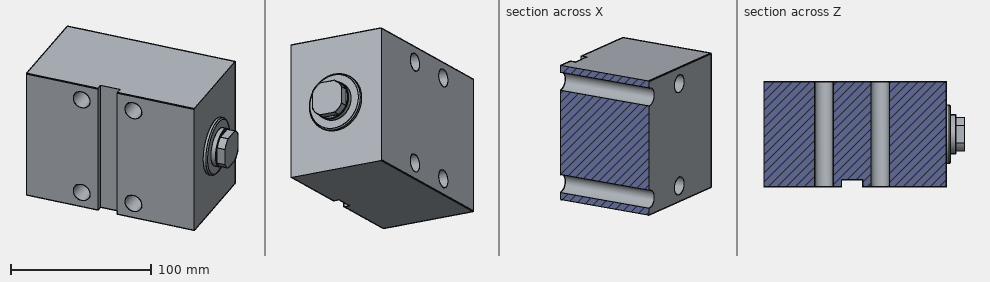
import cadquery as cq

overall_length = 143.0
block_width = 75.0
block_height = 100.0
block_edge_chamfer = 0.5

gland_diameter = 42.0
gland_thickness = 3.0
gland_chamfer = 1.0

rod_diameter = 28.0
rod_chamfer = 0.5
collar_projection = 4.0
nose_length = 6.0
nose_across_flats = 24.0
nose_diameter = rod_diameter - 2 * rod_chamfer

collar_length = gland_thickness + collar_projection
block_length = overall_length - collar_length - nose_length

slot_center_x = 62.9
slot_width = 15.0
slot_depth = 5.0
hole_diameter = 13.0
hole_pitch_x = 40.0
hole_pitch_z = 76.0


def cylinder_along_x(diameter, length, start_x):
    return cq.Workplane("YZ", origin=(start_x, 0, 0)).circle(diameter / 2).extrude(length)


def make_block():
    """Block with bevelled long edges, a key slot and four through holes."""
    block = cq.Workplane("XY").box(
        block_length, block_width, block_height, centered=(False, True, True)
    )
    block = block.edges("|X").chamfer(block_edge_chamfer)

    front_y = -block_width / 2
    slot = cq.Workplane("XY").box(slot_width, 2 * slot_depth, block_height)
    slot = slot.translate((slot_center_x, front_y, 0))

    holes = (
        cq.Workplane("XZ", origin=(slot_center_x, -front_y, 0))
        .rarray(hole_pitch_x, hole_pitch_z, 2, 2)
        .circle(hole_diameter / 2)
        .extrude(block_width)
    )
    return block.cut(slot).cut(holes)


def make_gland():
    """Ring around the rod with a chamfered outer rim."""
    gland = cylinder_along_x(gland_diameter, gland_thickness, block_length)
    gland = gland.faces(">X").edges().chamfer(gland_chamfer)
    bore = cylinder_along_x(rod_diameter, gland_thickness, block_length)
    return gland.cut(bore)


def make_rod():
    """Rod end resting on the block face, with a square-flatted nose."""
    collar = cylinder_along_x(rod_diameter, collar_length, block_length)
    collar = collar.faces(">X").edges().chamfer(rod_chamfer)

    nose_start_x = block_length + collar_length
    nose = cylinder_along_x(nose_diameter, nose_length, nose_start_x)
    flats = (
        cq.Workplane("YZ", origin=(nose_start_x, 0, 0))
        .rect(nose_across_flats, nose_across_flats)
        .extrude(nose_length)
    )
    return collar.union(nose.intersect(flats))


block = make_block()
gland = make_gland()
rod = make_rod()

result = cq.Compound.makeCompound([block.val(), gland.val(), rod.val()])